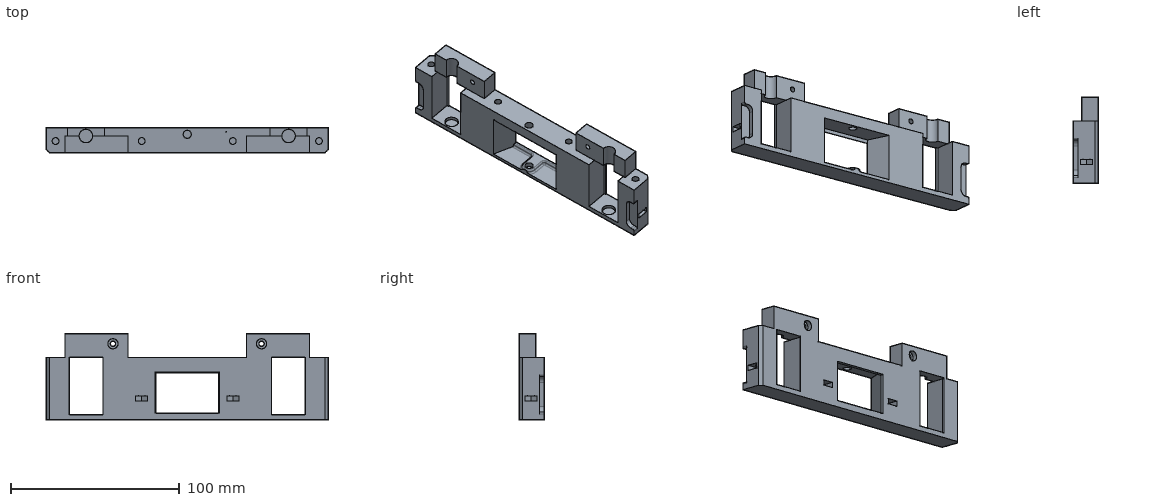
import math
import cadquery as cq

LENGTH = 167.0
DEPTH = 15.0
BODY_HEIGHT = 37.0
FRONT_CHAMFER = 2.0

TOWER_WIDTH = 37.5
TOWER_DEPTH = 10.0
TOWER_HEIGHT = 14.0
TOWER_OFFSET = 53.75
TOWER_TOP = BODY_HEIGHT + TOWER_HEIGHT

SCREW_OFFSET = 44.0
SCREW_HEIGHT = 45.0
SCREW_DIAMETER = 3.0
SCREW_HEAD_DIAMETER = 6.0
SCREW_HEAD_DEPTH = 3.0

WINDOW_OFFSET = 60.0
WINDOW_WIDTH = 20.0
WINDOW_REAR_WIDTH = 22.0
WINDOW_FLOOR = 3.0
WINDOW_LIP_DEPTH = 0.8
WINDOW_LIP_TAPER = 0.35

ROD_DIAMETER = 8.0
ROD_Y = TOWER_DEPTH
ROD_SOCKET_DEPTH = 2.0

LIP_DEPTH = 1.2
LIP_TAPER = 0.5
OPENING_WIDTH = 38.0
OPENING_BOTTOM = 4.0
OPENING_TOP = 28.2
POCKET_REAR_WIDTH = 48.0
POCKET_FLOOR = 2.0
POCKET_TOP = 30.0

CENTRE_HOLE_DIAMETER = 4.8
CENTRE_HOLE_Y = 11.0
CENTRE_HOLE_BOTTOM = 1.0
LEDGE_DEPTH = 2.2
RIB_RADIUS = 4.3
RIB_ROOT_RADIUS = 1.3
SHELF_FILLET = 0.95

BOLT_DIAMETER = 4.0
BOLT_Y = 7.0
INNER_BOLT_OFFSET = 27.0
OUTER_BOLT_OFFSET = 78.0
NUT_FLATS = 7.0
NUT_HEIGHT = 3.2
NUT_Z = 11.0

GRIP_DEPTH = 3.0
GRIP_LENGTH = 6.0
GRIP_BOTTOM = 4.5
GRIP_TOP = 25.5
GRIP_CORNER_RADIUS = 3.5
GRIP_MOUTH_RADIUS = 1.0

OVERRUN = 2.0
MARGIN = 0.1

SIDES = (-1, 1)


def block(x_min, x_max, y_min, y_max, z_min, z_max):
    """Axis-aligned box given by its limits."""
    size = (x_max - x_min, y_max - y_min, z_max - z_min)
    return cq.Workplane("XY").box(*size, centered=False).translate((x_min, y_min, z_min))


def upright(diameter, x, y, z_min, z_max):
    """Vertical cylinder between two heights."""
    disc = cq.Workplane("XY", origin=(x, y, z_min)).circle(diameter / 2)
    return disc.extrude(z_max - z_min)


def prism(points, z_min, z_max):
    """Vertical prism over a plan-view polygon."""
    return cq.Workplane("XY", origin=(0, 0, z_min)).polyline(points).close().extrude(z_max - z_min)


def body():
    """Chamfered bar carrying the two towers."""
    half = LENGTH / 2
    base = block(-half, half, 0, DEPTH, 0, BODY_HEIGHT)
    base = base.edges("|Z and <Y").chamfer(FRONT_CHAMFER)
    for side in SIDES:
        centre = side * TOWER_OFFSET
        left = centre - TOWER_WIDTH / 2
        right = centre + TOWER_WIDTH / 2
        base = base.union(block(left, right, 0, TOWER_DEPTH, BODY_HEIGHT, TOWER_TOP))
    return base


def tower_screw_hole(side):
    """Through hole with a counterbore from the front."""
    start = cq.Workplane("XZ", origin=(side * SCREW_OFFSET, 0, SCREW_HEIGHT))
    shank = start.circle(SCREW_DIAMETER / 2).extrude(-TOWER_DEPTH)
    head = start.circle(SCREW_HEAD_DIAMETER / 2).extrude(-SCREW_HEAD_DEPTH)
    return shank.union(head)


def side_window(side):
    """Window through the body; only the outer side of its front lip is tapered."""
    inner = WINDOW_OFFSET - WINDOW_WIDTH / 2
    outer = WINDOW_OFFSET + WINDOW_WIDTH / 2
    step = (WINDOW_REAR_WIDTH - WINDOW_WIDTH) / 2
    outline = [
        (inner, 0),
        (outer, 0),
        (outer - WINDOW_LIP_TAPER, WINDOW_LIP_DEPTH),
        (outer + step, WINDOW_LIP_DEPTH),
        (outer + step, DEPTH),
        (inner - step, DEPTH),
        (inner - step, WINDOW_LIP_DEPTH),
        (inner, WINDOW_LIP_DEPTH),
    ]
    return prism([(side * x, y) for x, y in outline], WINDOW_FLOOR, BODY_HEIGHT)


def rod_cuts(side):
    """Socket in the window floor and the half-round groove above it."""
    x = side * WINDOW_OFFSET
    socket = upright(ROD_DIAMETER, x, ROD_Y, WINDOW_FLOOR - ROD_SOCKET_DEPTH, WINDOW_FLOOR)
    groove = upright(ROD_DIAMETER, x, ROD_Y, BODY_HEIGHT, TOWER_TOP)
    return socket.union(groove)


def lip_opening():
    """Front lip of the central opening, narrowing at its sides and top."""
    front_height = OPENING_TOP - OPENING_BOTTOM
    rear_height = front_height - LIP_TAPER
    front_middle = OPENING_BOTTOM + front_height / 2
    return (
        cq.Workplane("XZ", origin=(0, 0, front_middle))
        .rect(OPENING_WIDTH, front_height)
        .workplane(offset=-LIP_DEPTH)
        .center(0, -LIP_TAPER / 2)
        .rect(OPENING_WIDTH - 2 * LIP_TAPER, rear_height)
        .loft(combine=True)
    )


def edges_behind_ledge(half_width, height):
    """Selector for the horizontal edges of the raised outline at one height."""
    low = (-half_width - MARGIN, LEDGE_DEPTH - MARGIN, height - MARGIN)
    high = (half_width + MARGIN, DEPTH + MARGIN, height + MARGIN)
    return cq.selectors.BoxSelector(low, high, boundingbox=True)


def shelf():
    """Pocket floor with a raised ledge behind the lip and a rib around the central hole."""
    half = POCKET_REAR_WIDTH / 2
    root_x = RIB_RADIUS + RIB_ROOT_RADIUS
    root_y = LEDGE_DEPTH + RIB_ROOT_RADIUS
    diagonal = RIB_ROOT_RADIUS * (1 - math.sqrt(0.5))
    bend_x = RIB_RADIUS + diagonal
    bend_y = LEDGE_DEPTH + diagonal
    floor = block(-half, half, 0, DEPTH + OVERRUN, 0, POCKET_FLOOR)
    raised = (
        cq.Workplane("XY")
        .moveTo(-half, 0)
        .lineTo(-half, LEDGE_DEPTH)
        .lineTo(-root_x, LEDGE_DEPTH)
        .threePointArc((-bend_x, bend_y), (-RIB_RADIUS, root_y))
        .lineTo(-RIB_RADIUS, CENTRE_HOLE_Y)
        .threePointArc((0, CENTRE_HOLE_Y + RIB_RADIUS), (RIB_RADIUS, CENTRE_HOLE_Y))
        .lineTo(RIB_RADIUS, root_y)
        .threePointArc((bend_x, bend_y), (root_x, LEDGE_DEPTH))
        .lineTo(half, LEDGE_DEPTH)
        .lineTo(half, 0)
        .close()
        .extrude(OPENING_BOTTOM)
    )
    floor = floor.union(raised)
    for height in (OPENING_BOTTOM, POCKET_FLOOR):
        floor = floor.edges(edges_behind_ledge(half, height)).fillet(SHELF_FILLET)
    return floor


def central_opening():
    """Lip opening and the splayed pocket behind it, less the shelf."""
    front_half = OPENING_WIDTH / 2 - LIP_TAPER
    rear_half = POCKET_REAR_WIDTH / 2
    outline = [(-front_half, LIP_DEPTH), (front_half, LIP_DEPTH), (rear_half, DEPTH), (-rear_half, DEPTH)]
    pocket = prism(outline, POCKET_FLOOR, POCKET_TOP)
    return pocket.cut(shelf()).union(lip_opening())


def nut_slot(x, y, direction):
    """Slot from a vertical face to a bolt hole, ending in the point of a hexagon."""
    corner = NUT_FLATS / math.sqrt(3)
    half = NUT_FLATS / 2
    reach = LENGTH / 2 - OUTER_BOLT_OFFSET + BOLT_Y
    outline = [(-half, -reach), (half, -reach), (half, corner / 2), (0, corner), (-half, corner / 2)]
    slot = prism(outline, NUT_Z, NUT_Z + NUT_HEIGHT)
    return slot.rotate((0, 0, 0), (0, 0, 1), direction).translate((x, y, 0))


def bolt_cuts(side):
    """Bolt holes from the top down to the nut slots, inner and outer."""
    outer_x = side * OUTER_BOLT_OFFSET
    inner_x = side * INNER_BOLT_OFFSET
    cuts = nut_slot(inner_x, BOLT_Y, 0).union(nut_slot(outer_x, BOLT_Y, side * 90))
    for x in (inner_x, outer_x):
        cuts = cuts.union(upright(BOLT_DIAMETER, x, BOLT_Y, NUT_Z, BODY_HEIGHT))
    return cuts


def grip_recess(side):
    """Recess open to the end and the rear, with a rounded mouth and inner corners."""
    end = LENGTH / 2
    front = DEPTH - GRIP_DEPTH
    recess = block(end - GRIP_LENGTH, end, front, DEPTH, GRIP_BOTTOM, GRIP_TOP)
    recess = recess.edges("|Y and <X").fillet(GRIP_CORNER_RADIUS)
    outside = block(end, end + OVERRUN, front, DEPTH, 0, BODY_HEIGHT)
    mouth = cq.selectors.BoxSelector(
        (end - MARGIN, front, GRIP_BOTTOM - MARGIN),
        (end + MARGIN, DEPTH, GRIP_TOP + MARGIN),
    )
    recess = recess.union(outside).edges(mouth).edges("|Y").fillet(GRIP_MOUTH_RADIUS)
    return recess if side > 0 else recess.mirror("YZ")


result = body()
for side in SIDES:
    result = result.cut(tower_screw_hole(side))
    result = result.cut(side_window(side))
    result = result.cut(rod_cuts(side))
    result = result.cut(bolt_cuts(side))
    result = result.cut(grip_recess(side))
result = result.cut(central_opening())
result = result.cut(upright(CENTRE_HOLE_DIAMETER, 0, CENTRE_HOLE_Y, CENTRE_HOLE_BOTTOM, BODY_HEIGHT))